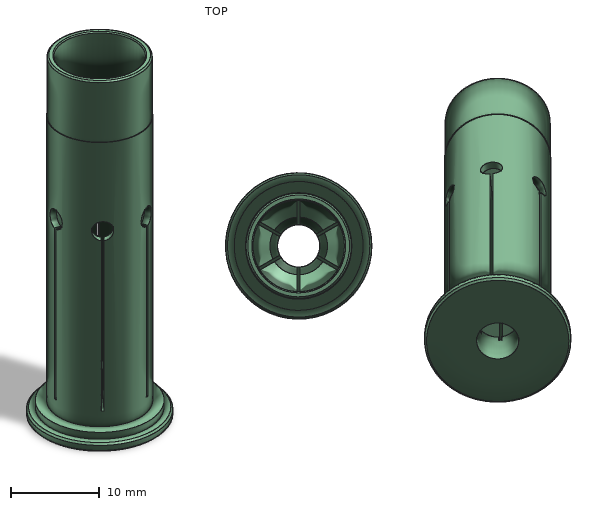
import cadquery as cq
import math

total_height = 47.0
flange_height = 1.15
collar_top = 2.0
neck_start = 39.05

flange_diameter = 16.5
collar_diameter = 14.5
body_diameter = 12.0
neck_diameter = 11.85

bore_diameter = 10.3
step_diameter = 6.5
throat_diameter = 4.75
floor_cone_angle = 118
bore_end = 25.85
step_end = 5.2

flange_chamfer = 0.25
rim_outer_chamfer = 0.2
rim_inner_chamfer = 0.15

slot_count = 6
slot_width = 0.35
slot_bottom = 4.05
relief_hole_diameter = 2.5
relief_hole_height = 27.5


def cone_drop(outer_radius, inner_radius):
    """Height lost on a conical floor between two radii."""
    return (outer_radius - inner_radius) / math.tan(math.radians(floor_cone_angle / 2))


def make_sleeve():
    """Revolve the wall section around Z."""
    flange_radius = flange_diameter / 2
    neck_radius = neck_diameter / 2
    bore_radius = bore_diameter / 2
    step_radius = step_diameter / 2
    throat_radius = throat_diameter / 2
    section = [
        (throat_radius, 0),
        (flange_radius - flange_chamfer, 0),
        (flange_radius, flange_chamfer),
        (flange_radius, flange_height - flange_chamfer),
        (flange_radius - flange_chamfer, flange_height),
        (collar_diameter / 2, flange_height),
        (collar_diameter / 2, collar_top),
        (body_diameter / 2, collar_top),
        (body_diameter / 2, neck_start),
        (neck_radius, neck_start),
        (neck_radius, total_height - rim_outer_chamfer),
        (neck_radius - rim_outer_chamfer, total_height),
        (bore_radius + rim_inner_chamfer, total_height),
        (bore_radius, total_height - rim_inner_chamfer),
        (bore_radius, bore_end),
        (step_radius, bore_end - cone_drop(bore_radius, step_radius)),
        (step_radius, step_end),
        (throat_radius, step_end - cone_drop(step_radius, throat_radius)),
    ]
    return cq.Workplane("XZ").polyline(section).close().revolve(360, (0, 0), (0, 1))


def make_slot_cutter():
    """One slot and its relief hole, running from the axis out through the -Y wall."""
    reach = flange_diameter / 2
    slot_length = relief_hole_height - slot_bottom
    slot = cq.Workplane("XY").box(slot_width, reach, slot_length, centered=(True, False, False))
    slot = slot.translate((0, -reach, slot_bottom))
    hole = (
        cq.Workplane("XZ")
        .center(0, relief_hole_height)
        .circle(relief_hole_diameter / 2)
        .extrude(reach)
    )
    return slot.union(hole)


result = make_sleeve()
slot_cutter = make_slot_cutter()
for index in range(slot_count):
    angle = index * 360 / slot_count
    result = result.cut(slot_cutter.rotate((0, 0, 0), (0, 0, 1), angle))